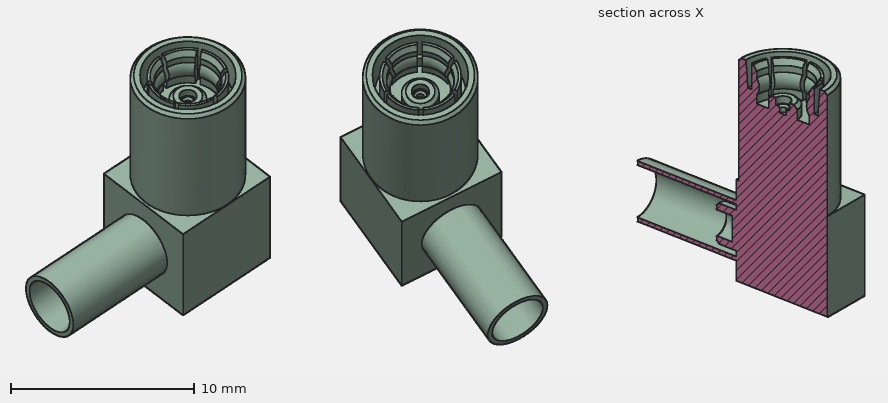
import cadquery as cq


total_height = 14.0
body_width = 6.35
body_depth = 6.5
body_height = 6.3

barrel_radius = 3.15
rim_chamfer = 0.2
mouth_radius = 2.62
mouth_end_radius = 2.48
mouth_depth = 1.68
socket_depth = 2.45

finger_outer_radius = 2.23
finger_tip_radius = 2.07
finger_inner_radius = 1.85
finger_bulge_radius = 1.65
finger_tip_depth = 0.1
finger_taper_depth = 0.45
bulge_start_depth = 0.87
bulge_end_depth = 1.9
slot_width = 0.27
slot_count = 6

post_radius = 1.02
post_tip_depth = 1.6
post_chamfer = 0.22
post_bore_radius = 0.48
contact_radius = 0.4
contact_chamfer = 0.04
contact_tip_depth = 2.02
contact_mouth_radius = 0.35
contact_bore_radius = 0.21

tube_length = 7.0
tube_outer_radius = 1.9
tube_inner_radius = 1.61
ferrule_radius = 1.29
ferrule_chamfer = 0.2
ferrule_length = 1.4
ferrule_bore_radius = 0.8
ferrule_bore_chamfer = 0.05
ferrule_bore_depth = 1.12

body_back = body_width / 2
body_front = body_back - body_depth
tube_axis_height = body_height / 2
socket_floor = total_height - socket_depth
lead_in = contact_mouth_radius - contact_bore_radius


def level(depth):
    """Height of a point lying the given depth below the barrel rim."""
    return total_height - depth


def make_body():
    """Rectangular block carrying the barrel and the tube."""
    return (
        cq.Workplane("XY")
        .center(0, (body_front + body_back) / 2)
        .rect(body_width, body_depth)
        .extrude(body_height)
    )


def make_barrel():
    """Barrel wall and solid base, with a slightly tapered mouth around the fingers."""
    barrel = (
        cq.Workplane("XY", origin=(0, 0, body_height))
        .circle(barrel_radius)
        .extrude(total_height - body_height)
        .faces(">Z")
        .chamfer(rim_chamfer)
    )
    mouth = (
        cq.Workplane("XZ")
        .moveTo(0, total_height)
        .lineTo(mouth_radius, total_height)
        .lineTo(mouth_end_radius, level(mouth_depth))
        .lineTo(finger_outer_radius, level(mouth_depth))
        .lineTo(finger_outer_radius, socket_floor)
        .lineTo(0, socket_floor)
        .close()
        .revolve(axisStart=(0, 0), axisEnd=(0, 1))
    )
    return barrel.cut(mouth)


def make_fingers():
    """Ring with a flared tip and an inward bulge, split into fingers by radial slots."""
    bulge_middle_depth = (bulge_start_depth + bulge_end_depth) / 2
    ring = (
        cq.Workplane("XZ")
        .moveTo(finger_outer_radius, socket_floor)
        .lineTo(finger_outer_radius, level(finger_tip_depth))
        .lineTo(finger_tip_radius, level(finger_tip_depth))
        .lineTo(finger_inner_radius, level(finger_taper_depth))
        .lineTo(finger_inner_radius, level(bulge_start_depth))
        .threePointArc(
            (finger_bulge_radius, level(bulge_middle_depth)),
            (finger_inner_radius, level(bulge_end_depth)),
        )
        .lineTo(finger_inner_radius, socket_floor)
        .close()
        .revolve(axisStart=(0, 0), axisEnd=(0, 1))
    )
    slots = (
        cq.Workplane("XY", origin=(0, 0, socket_floor))
        .polarArray(finger_outer_radius, 0, 360, slot_count)
        .rect(finger_outer_radius, slot_width)
        .extrude(socket_depth)
    )
    return ring.cut(slots)


def make_post():
    """Chamfered insulator post whose bore surrounds a recessed hollow contact."""
    contact_tip = level(contact_tip_depth)
    return (
        cq.Workplane("XZ")
        .moveTo(contact_bore_radius, socket_floor)
        .lineTo(post_radius, socket_floor)
        .lineTo(post_radius, level(post_tip_depth + post_chamfer))
        .lineTo(post_radius - post_chamfer, level(post_tip_depth))
        .lineTo(post_bore_radius, level(post_tip_depth))
        .lineTo(post_bore_radius, contact_tip - contact_chamfer)
        .lineTo(contact_radius, contact_tip - contact_chamfer)
        .lineTo(contact_radius - contact_chamfer, contact_tip)
        .lineTo(contact_mouth_radius, contact_tip)
        .lineTo(contact_bore_radius, contact_tip - lead_in)
        .close()
        .revolve(axisStart=(0, 0), axisEnd=(0, 1))
    )


def make_tube():
    """Open cable tube standing on the front face of the body."""
    return (
        cq.Workplane("XZ", origin=(0, body_front, tube_axis_height))
        .circle(tube_outer_radius)
        .circle(tube_inner_radius)
        .extrude(tube_length)
    )


def make_ferrule():
    """Chamfered ferrule inside the tube, with a blind bore for the cable core."""
    ferrule = (
        cq.Workplane("XZ", origin=(0, body_front, tube_axis_height))
        .circle(ferrule_radius)
        .extrude(ferrule_length)
        .faces("<Y")
        .chamfer(ferrule_chamfer)
    )
    bore = (
        cq.Workplane("XZ", origin=(0, body_front - ferrule_length, tube_axis_height))
        .circle(ferrule_bore_radius)
        .extrude(-ferrule_bore_depth)
    )
    return (
        ferrule.cut(bore)
        .faces("<Y")
        .edges(cq.selectors.RadiusNthSelector(0))
        .chamfer(ferrule_bore_chamfer)
    )


result = (
    make_body()
    .union(make_barrel())
    .union(make_fingers())
    .union(make_post())
    .union(make_tube())
    .union(make_ferrule())
)